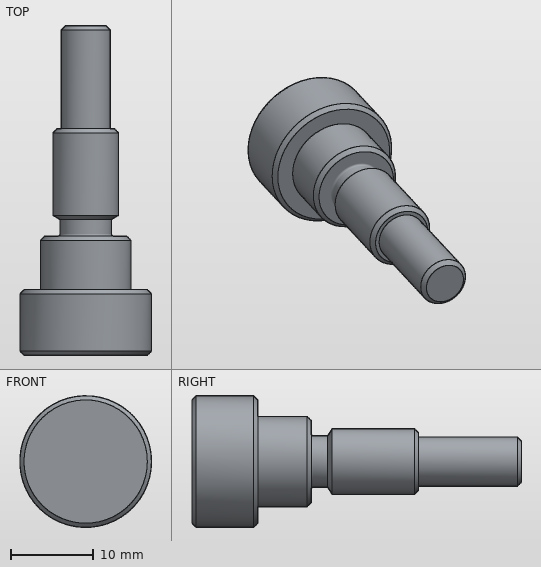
import cadquery as cq

total_length = 40.0
head_diameter = 16.0
collar_diameter = 11.0
neck_diameter = 6.3
body_diameter = 8.0
pin_diameter = 6.0

head_end = 8.0
collar_end = 14.5
body_start = 16.5
body_end = 27.5

edge_chamfer = 0.5
body_start_chamfer_length = 0.5
neck_fillet = 0.25
body_start_chamfer_depth = (body_diameter - neck_diameter) / 2


def turned_section(diameter, start, end):
    """Cylinder along +Y between two distances from the head face."""
    plane = cq.Workplane("XZ", origin=(0, start, 0))
    return plane.circle(diameter / 2).extrude(start - end)


head = turned_section(head_diameter, 0, head_end).edges().chamfer(edge_chamfer)
collar = turned_section(collar_diameter, head_end, collar_end).edges(">Y").chamfer(edge_chamfer)
neck = turned_section(neck_diameter, collar_end, body_start)
body = (
    turned_section(body_diameter, body_start, body_end)
    .edges(">Y")
    .chamfer(edge_chamfer)
    .faces("<Y")
    .chamfer(body_start_chamfer_length, body_start_chamfer_depth)
)
pin = turned_section(pin_diameter, body_end, total_length).edges(">Y").chamfer(edge_chamfer)

neck_root = cq.selectors.NearestToPointSelector((0, collar_end, 0))
collar_and_neck = collar.union(neck).edges("%CIRCLE").edges(neck_root).fillet(neck_fillet)

result = head.union(collar_and_neck).union(body).union(pin)